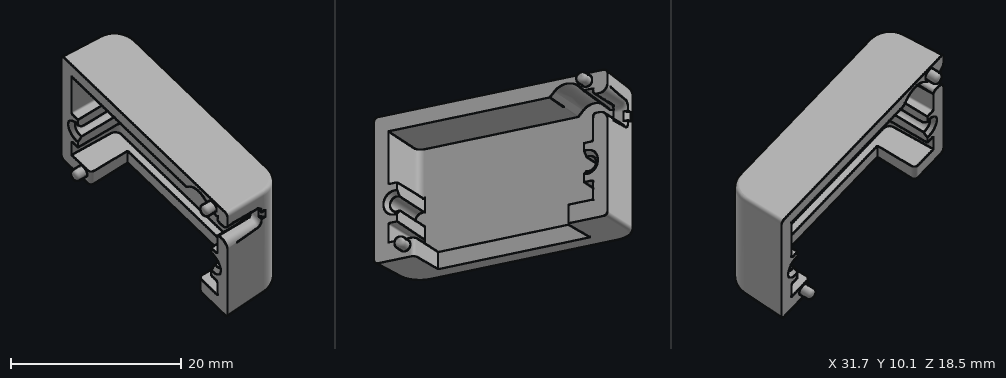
import cadquery as cq
import math

length = 31.65
height = 18.5
total_depth = 10.05
pin_length = 1.55
shell_depth = total_depth - pin_length
draft = 2.0
back_corner_radius = 3.0
edge_radius = 0.55

pocket_depth = 6.58
pocket_half_width = 13.85
pocket_top = 7.15
pocket_bottom = -6.9
pocket_floor_radius = 0.92
hump_x = 10.28
hump_top = 8.45
hump_radius = 2.37

rib_face_x = 12.65
rib_draft = 0.8
rib_bottom = -4.45
rib_top = 0.47
rib_corner_radius = 0.25
groove_x = 13.0
groove_z = -2.0
groove_radius = 0.95
groove_mouth_radius = 1.52

opening_half_width = 10.28
opening_depth = 5.57
opening_mouth_radius = 0.57

notch_z = 5.2
notch_half_height = 1.2
notch_depth = 5.22
notch_floor_radius = 0.6
notch_inner_flare = 0.45
notch_outer_flare = 1.08
notch_lip = 0.8

pin_diameter = 1.5
pin_tip_radius = 0.47
pin_positions = [(13.0, 8.25), (-11.6, -7.72)]

RIM = "XZ"


def box(x_range, y_range, z_range):
    """Axis-aligned box from its limits on each axis."""
    sizes = [high - low for low, high in (x_range, y_range, z_range)]
    corner = (x_range[0], y_range[0], z_range[0])
    return cq.Workplane("XY").box(*sizes, centered=False).translate(corner)


def make_shell():
    """Drafted block with large back corners and softened outer edges."""
    block = cq.Workplane(RIM).rect(length, height).extrude(-shell_depth, taper=draft)
    back_corners = cq.selectors.BoxSelector(
        (-length, shell_depth - 0.03, -height), (length, shell_depth + 0.03, height)
    )
    block = block.edges(back_corners).edges("|Z").fillet(back_corner_radius)
    return block.faces(">Z or <Z").edges("not(<Y)").fillet(edge_radius)


def make_pocket():
    """Drafted pocket volume with a humped top and a straight lower face."""
    diagonal = math.sqrt(0.5)
    arc_half_width = hump_radius * diagonal
    arc_end_z = hump_top - hump_radius * (1 - diagonal)
    hump_half_width = arc_half_width + arc_end_z - pocket_top
    below = -height / 2
    pocket = (
        cq.Workplane(RIM)
        .moveTo(-pocket_half_width, below)
        .lineTo(-pocket_half_width, pocket_top)
        .lineTo(hump_x - hump_half_width, pocket_top)
        .lineTo(hump_x - arc_half_width, arc_end_z)
        .threePointArc((hump_x, hump_top), (hump_x + arc_half_width, arc_end_z))
        .lineTo(hump_x + hump_half_width, pocket_top)
        .lineTo(pocket_half_width, pocket_top)
        .lineTo(pocket_half_width, below)
        .close()
        .extrude(-pocket_depth, taper=draft)
    )
    pocket = pocket.faces(">Y").edges("|Z").fillet(pocket_floor_radius)
    return pocket.intersect(
        box((-length, length), (0, pocket_depth), (pocket_bottom, height))
    )


def make_rib(side):
    """Rib on one end wall; the rib widens towards the pocket floor."""
    rib_height = rib_top - rib_bottom
    rib_middle = (rib_top + rib_bottom) / 2
    wall_x = pocket_half_width
    rib = (
        cq.Workplane(RIM)
        .center(side * wall_x, rib_middle)
        .rect(4 * (wall_x - rib_face_x), rib_height)
        .extrude(-pocket_depth, taper=-rib_draft)
    )
    near, far = sorted((side * rib_face_x, side * length / 2))
    return rib.intersect(box((near, far), (0, pocket_depth), (-height, height)))


def make_groove(side):
    """Round groove along a rib, with a conical mouth at the rim."""
    centre = (side * groove_x, groove_z)
    mouth_depth = groove_mouth_radius - groove_radius
    bore = cq.Workplane(RIM).center(*centre).circle(groove_radius).extrude(-pocket_depth)
    mouth = (
        cq.Workplane(RIM).center(*centre).circle(groove_mouth_radius)
        .workplane(offset=-mouth_depth).circle(groove_radius).loft()
    )
    return bore.union(mouth)


def make_opening():
    """Lower wall opening whose sides round outwards into the rim."""
    mouth_half_width = opening_half_width + opening_mouth_radius
    middle = opening_mouth_radius * (1 - math.sqrt(0.5))
    return (
        cq.Workplane("XY", origin=(0, 0, -height))
        .moveTo(-mouth_half_width, 0)
        .threePointArc(
            (-opening_half_width - middle, middle), (-opening_half_width, opening_mouth_radius)
        )
        .lineTo(-opening_half_width, opening_depth)
        .lineTo(opening_half_width, opening_depth)
        .lineTo(opening_half_width, opening_mouth_radius)
        .threePointArc((opening_half_width + middle, middle), (mouth_half_width, 0))
        .close()
        .extrude(height + pocket_bottom)
    )


def make_notch():
    """Cable notch flared at both ends, with a sloping lip outside its floor."""
    inner_x = pocket_half_width - notch_inner_flare
    outer_x = length / 2
    inner_mouth = notch_half_height + notch_inner_flare
    outer_mouth = notch_half_height + notch_outer_flare
    throat_start = pocket_half_width + notch_inner_flare
    throat_end = outer_x - notch_outer_flare
    bend = 1 - math.sqrt(0.5)
    inner_bend = notch_inner_flare * bend
    outer_bend = notch_outer_flare * bend

    channel = (
        cq.Workplane(RIM)
        .center(0, notch_z)
        .moveTo(inner_x, -inner_mouth)
        .lineTo(pocket_half_width, -inner_mouth)
        .threePointArc(
            (pocket_half_width + inner_bend, -notch_half_height - inner_bend),
            (throat_start, -notch_half_height),
        )
        .lineTo(throat_end, -notch_half_height)
        .threePointArc(
            (outer_x - outer_bend, -notch_half_height - outer_bend), (outer_x, -outer_mouth)
        )
        .lineTo(outer_x, outer_mouth)
        .threePointArc(
            (outer_x - outer_bend, notch_half_height + outer_bend), (throat_end, notch_half_height)
        )
        .lineTo(throat_start, notch_half_height)
        .threePointArc(
            (pocket_half_width + inner_bend, notch_half_height + inner_bend),
            (pocket_half_width, inner_mouth),
        )
        .lineTo(inner_x, inner_mouth)
        .close()
        .extrude(-notch_depth)
    )
    channel = channel.faces(">Y").edges("not |Z").fillet(notch_floor_radius)
    lip_half_height = notch_half_height - notch_floor_radius
    lip = (
        cq.Workplane("XY", origin=(0, 0, notch_z))
        .moveTo(length / 2 - notch_lip, notch_depth)
        .lineTo(length / 2, notch_depth + notch_lip)
        .lineTo(length / 2, notch_depth)
        .close()
        .extrude(lip_half_height, both=True)
    )
    return channel.union(lip)


def round_rib_corners(cavity_body, side):
    """Round the cavity corners between a rib and its end wall."""
    near, far = sorted((side * (pocket_half_width - 0.38), side * (pocket_half_width + 0.05)))
    for corner_z in (rib_bottom, rib_top):
        corner = cq.selectors.BoxSelector(
            (near, 0, corner_z - 0.47), (far, pocket_depth, corner_z + 0.47)
        )
        runs_inwards = "not(#Y or |X or |Z)"
        cavity_body = cavity_body.edges(corner).edges(runs_inwards).fillet(rib_corner_radius)
    return cavity_body


def make_pin(position):
    """Locating pin with a rounded tip standing out from the rim."""
    pin = cq.Workplane(RIM).center(*position).circle(pin_diameter / 2).extrude(pin_length)
    pin = pin.faces("<Y").edges().fillet(pin_tip_radius)
    root = cq.Workplane(RIM).center(*position).circle(pin_diameter / 2).extrude(-0.32)
    return pin.union(root)


cavity = make_pocket()
for end in (-1, 1):
    cavity = round_rib_corners(cavity.cut(make_rib(end)), end)
    cavity = cavity.union(make_groove(end))

result = make_shell().cut(cavity).cut(make_opening()).cut(make_notch())
for pin_position in pin_positions:
    result = result.union(make_pin(pin_position))